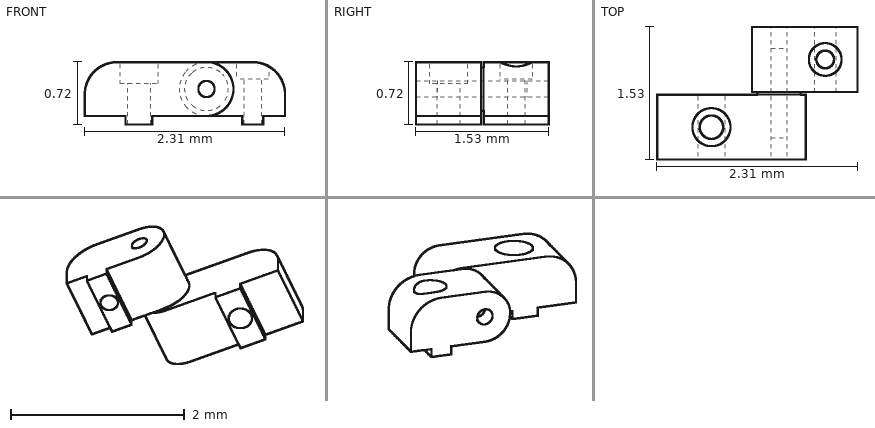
import cadquery as cq

total_length = 2.31
total_width = 1.53
total_height = 0.72

key_height = 0.1
arm_height = total_height - key_height
spacer_thickness = 0.03
arm_width = (total_width - spacer_thickness) / 2
nose_radius = 0.375
knuckle_radius = arm_height / 2

front_arm_length = 1.715
pivot_x = front_arm_length - knuckle_radius
pivot_z = arm_height / 2
pin_diameter = 0.187
pin_recess = 0.25
spacer_diameter = 0.501

front_screw_x = 0.625
front_hole_diameter = 0.268
front_counterbore_diameter = 0.44
front_counterbore_depth = 0.25
front_key_width = 0.312

rear_screw_x = total_length - nose_radius
rear_hole_diameter = 0.2
rear_counterbore_diameter = 0.377
rear_counterbore_depth = 0.196
rear_key_width = 0.245

spacer_y = arm_width
rear_arm_y = spacer_y + spacer_thickness


def pivot_cylinder(diameter, start_y, length):
    """Cylinder on the pivot axis, running toward +Y from start_y."""
    return (
        cq.Workplane("XZ", origin=(pivot_x, start_y, pivot_z))
        .circle(diameter / 2)
        .extrude(-length)
    )


def make_arm(nose_x, start_y, screw_x, hole_diameter, counterbore_diameter, counterbore_depth, key_width):
    """Arm with a round knuckle at the pivot and a rounded upper corner at nose_x."""
    toward_pivot = 1 if nose_x < pivot_x else -1
    body = (
        cq.Workplane("XZ", origin=(0, start_y, 0))
        .moveTo(nose_x, 0)
        .lineTo(pivot_x, 0)
        .threePointArc((pivot_x + toward_pivot * knuckle_radius, pivot_z), (pivot_x, arm_height))
        .lineTo(nose_x + toward_pivot * nose_radius, arm_height)
        .tangentArcPoint((nose_x, arm_height - nose_radius), relative=False)
        .close()
        .extrude(-arm_width)
    )

    key = cq.Workplane("XY").box(key_width, arm_width, key_height, centered=(True, False, False))
    body = body.union(key.translate((screw_x, start_y, -key_height)))

    screw_hole = (
        cq.Workplane("XY", origin=(screw_x, start_y + arm_width / 2, arm_height))
        .circle(hole_diameter / 2)
        .extrude(-total_height)
    )
    counterbore = (
        cq.Workplane("XY", origin=(screw_x, start_y + arm_width / 2, arm_height))
        .circle(counterbore_diameter / 2)
        .extrude(-counterbore_depth)
    )
    pin_hole = pivot_cylinder(pin_diameter, start_y, arm_width)
    return body.cut(screw_hole).cut(counterbore).cut(pin_hole)


def make_spacer():
    """Washer that keeps the two arms apart."""
    disc = pivot_cylinder(spacer_diameter, spacer_y, spacer_thickness)
    return disc.cut(pivot_cylinder(pin_diameter, spacer_y, spacer_thickness))


def make_pin():
    """Hinge pin, sunk below the outer face of each arm."""
    return pivot_cylinder(pin_diameter, pin_recess, total_width - 2 * pin_recess)


front_arm = make_arm(
    nose_x=0,
    start_y=0,
    screw_x=front_screw_x,
    hole_diameter=front_hole_diameter,
    counterbore_diameter=front_counterbore_diameter,
    counterbore_depth=front_counterbore_depth,
    key_width=front_key_width,
)
rear_arm = make_arm(
    nose_x=total_length,
    start_y=rear_arm_y,
    screw_x=rear_screw_x,
    hole_diameter=rear_hole_diameter,
    counterbore_diameter=rear_counterbore_diameter,
    counterbore_depth=rear_counterbore_depth,
    key_width=rear_key_width,
)
spacer = make_spacer()
pin = make_pin()

result = cq.Compound.makeCompound([front_arm.val(), rear_arm.val(), spacer.val(), pin.val()])